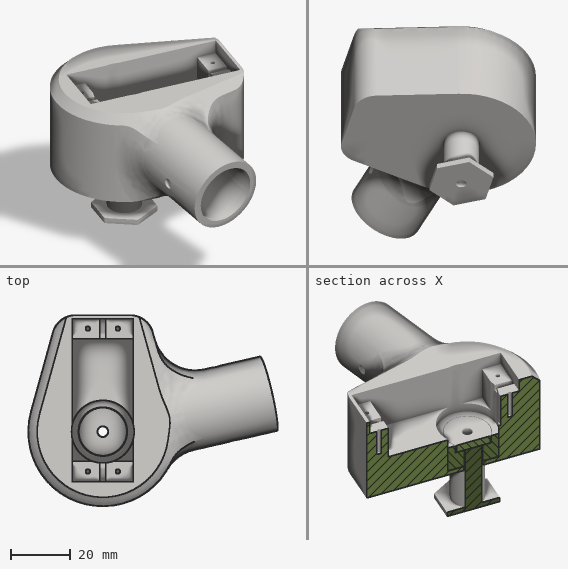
import cadquery as cq
import math

BODY_HEIGHT = 33.0
BODY_RADIUS = 25.0
EDGE_CHAMFER = 3.0
RIM_TAPER = 45.0
CORNER_RADIUS = 8.0
CORNER_X = 9.0
BACK_Y = 39.0
CORNER_Y = BACK_Y - CORNER_RADIUS

FLANK_ANGLE = math.atan2(CORNER_Y, CORNER_X) - math.acos(
    (BODY_RADIUS - CORNER_RADIUS) / math.hypot(CORNER_X, CORNER_Y)
)
FLANK_COS = math.cos(FLANK_ANGLE)
FLANK_SIN = math.sin(FLANK_ANGLE)

TUBE_DIAMETER = 25.6
TUBE_BORE = 20.55
TUBE_BORE_DEPTH = 30.1
TUBE_REACH = 57.1
TUBE_ROOT_Z = 21.5
TUBE_TURN = math.tan(math.radians(12.9))
TUBE_DIP = math.tan(math.radians(6))
TUBE_AXIS = cq.Vector(1, TUBE_TURN, -TUBE_DIP).normalized()
CROSS_HOLE_DIAMETER = 3.5
CROSS_HOLE_FROM_END = 15.0

TUBE_BLEND_RADIUS = 13.95
BLEND_MARGIN = 16.7
RIM_OVERRUN = 8.35

HOLLOW_CENTRE_DEPTH = 9.0
HOLLOW_CENTRE_REACH = BODY_RADIUS + math.sqrt(TUBE_BLEND_RADIUS**2 - HOLLOW_CENTRE_DEPTH**2)
HOLLOW_TURN = 75.0
HOLLOW_FLANK_LENGTH = 25.1

POCKET_WIDTH = 20.5
POCKET_FRONT_Y = -16.7
POCKET_BACK_Y = 37.8
POCKET_DEPTH = 17.45
LEDGE_LENGTH = 6.8
LEDGE_DEPTH = 4.9
CABLE_SLOT_WIDTH = 2.0
CABLE_SLOT_DEPTH = 2.0
SCREW_HOLE_DIAMETER = 1.5
SCREW_HOLE_DEPTH = 10.0
SCREW_SPACING = 10.0

BEARING_DIAMETER = 21.0
BEARING_BORE = 12.0
BEARING_HEIGHT = 10.0
BEARING_SEAT_Z = 2.0
BEARING_TOP_Z = BEARING_SEAT_Z + BEARING_HEIGHT
SHAFT_CLEARANCE_HOLE = 12.1

CAP_DIAMETER = 16.0
CAP_RECESS_DIAMETER = 16.4
CAP_THICKNESS = 3.0
CAP_BOTTOM_Z = BEARING_TOP_Z - CAP_THICKNESS

SHAFT_DIAMETER = 11.8
SHAFT_BOTTOM_Z = -18.05
HEX_ACROSS_FLATS = 19.4
HEX_ACROSS_CORNERS = HEX_ACROSS_FLATS / math.cos(math.pi / 6)
HEX_THICKNESS = 2.0
CENTRE_HOLE_DIAMETER = 3.5


def cylinder(diameter, bottom_z, top_z):
    return cq.Workplane("XY", origin=(0, 0, bottom_z)).circle(diameter / 2).extrude(top_z - bottom_z)


def box_between(x_min, x_max, y_min, y_max, z_min, z_max):
    size = (x_max - x_min, y_max - y_min, z_max - z_min)
    return cq.Workplane("XY", origin=(x_min, y_min, z_min)).box(*size, centered=False)


def teardrop(bottom_z, end_y):
    """Closed outline: the big round, and its two tangent flanks run on to a straight edge at end_y."""
    flank_x = BODY_RADIUS * FLANK_COS
    flank_y = BODY_RADIUS * FLANK_SIN
    end_x = (BODY_RADIUS - end_y * FLANK_SIN) / FLANK_COS
    return (
        cq.Workplane("XY", origin=(0, 0, bottom_z))
        .moveTo(-end_x, end_y)
        .lineTo(-flank_x, flank_y)
        .threePointArc((0, -BODY_RADIUS), (flank_x, flank_y))
        .lineTo(end_x, end_y)
        .close()
    )


def tube_along_axis(diameter, start, end):
    origin = TUBE_AXIS * start + cq.Vector(0, 0, TUBE_ROOT_Z)
    plane = cq.Plane(origin=origin, normal=TUBE_AXIS)
    return cq.Workplane(plane).circle(diameter / 2).extrude(end - start)


def blend_tube(shell):
    """Round the seam where the tube meets the shell."""
    tube_face = next(
        face for face in shell.faces("%CYLINDER").vals() if face.Center().x > BODY_RADIUS
    )
    seam_edges = [edge for edge in tube_face.Edges() if edge.geomType() not in ("LINE", "CIRCLE")]
    return cq.Workplane(shell.val().fillet(TUBE_BLEND_RADIUS, seam_edges))


def make_shell():
    """Solid teardrop and tube, built oversize so the blend has room, then trimmed flat."""
    chamfer_start_z = BODY_HEIGHT - EDGE_CHAMFER
    overrun_y = BACK_Y + BLEND_MARGIN
    walls = teardrop(-BLEND_MARGIN, overrun_y).extrude(chamfer_start_z + BLEND_MARGIN)
    sloping_rim = teardrop(chamfer_start_z, overrun_y).extrude(RIM_OVERRUN, taper=RIM_TAPER)
    tube = tube_along_axis(TUBE_DIAMETER, BODY_RADIUS / 2, TUBE_REACH)
    shell = blend_tube(walls.union(sloping_rim).union(tube))
    trim = box_between(-BODY_RADIUS, 2 * TUBE_REACH, -TUBE_REACH, BACK_Y, 0, BODY_HEIGHT)
    return shell.intersect(trim)


def hollow_under_tube():
    """Waste following the bottom edge: turned about the Z axis at the round, straight at the flank."""
    plane = cq.Plane(
        origin=(0, 0, 0),
        xDir=(FLANK_COS, FLANK_SIN, 0),
        normal=(FLANK_SIN, -FLANK_COS, 0),
    )
    centre = (HOLLOW_CENTRE_REACH, -HOLLOW_CENTRE_DEPTH)

    def profile():
        return cq.Workplane(plane).pushPoints([centre]).circle(TUBE_BLEND_RADIUS)

    turned = profile().revolve(HOLLOW_TURN, (0, 0, 0), (0, -1, 0))
    straight = profile().extrude(-HOLLOW_FLANK_LENGTH)
    return turned.union(straight)


def corner_waste():
    """Prism outside the round of the +X back corner."""
    sharp_x = (BODY_RADIUS - BACK_Y * FLANK_SIN) / FLANK_COS
    middle_angle = (FLANK_ANGLE + math.pi / 2) / 2

    def on_round(angle):
        return (CORNER_X + CORNER_RADIUS * math.cos(angle), CORNER_Y + CORNER_RADIUS * math.sin(angle))

    return (
        cq.Workplane("XY")
        .moveTo(CORNER_X, BACK_Y)
        .lineTo(sharp_x, BACK_Y)
        .lineTo(*on_round(FLANK_ANGLE))
        .threePointArc(on_round(middle_angle), (CORNER_X, BACK_Y))
        .close()
        .extrude(BODY_HEIGHT)
    )


def servo_pocket():
    """Waste of the pocket: shallow over the ledges, deep between them, with a cable slot along."""
    half_width = POCKET_WIDTH / 2
    half_slot = CABLE_SLOT_WIDTH / 2
    ledge_z = BODY_HEIGHT - LEDGE_DEPTH
    floor_z = BODY_HEIGHT - POCKET_DEPTH
    well_front_y = POCKET_FRONT_Y + LEDGE_LENGTH
    well_back_y = POCKET_BACK_Y - LEDGE_LENGTH
    mouth = box_between(-half_width, half_width, POCKET_FRONT_Y, POCKET_BACK_Y, ledge_z, BODY_HEIGHT)
    well = box_between(-half_width, half_width, well_front_y, well_back_y, floor_z, BODY_HEIGHT)
    slot_z = ledge_z - CABLE_SLOT_DEPTH
    slot = box_between(-half_slot, half_slot, POCKET_FRONT_Y, POCKET_BACK_Y, slot_z, BODY_HEIGHT)
    return mouth.union(well).union(slot)


def ledge_screw_holes():
    front_y = POCKET_FRONT_Y + LEDGE_LENGTH / 2
    back_y = POCKET_BACK_Y - LEDGE_LENGTH / 2
    half_spacing = SCREW_SPACING / 2
    centres = [(x, y) for x in (-half_spacing, half_spacing) for y in (front_y, back_y)]
    return (
        cq.Workplane("XY", origin=(0, 0, BODY_HEIGHT - LEDGE_DEPTH))
        .pushPoints(centres)
        .circle(SCREW_HOLE_DIAMETER / 2)
        .extrude(-SCREW_HOLE_DEPTH)
    )


def tube_cross_hole():
    """Level hole through both walls of the tube, square to its axis."""
    hole_centre = TUBE_AXIS * (TUBE_REACH - CROSS_HOLE_FROM_END) + cq.Vector(0, 0, TUBE_ROOT_Z)
    plane = cq.Plane(origin=hole_centre, normal=(TUBE_TURN, -1, 0))
    return cq.Workplane(plane).circle(CROSS_HOLE_DIAMETER / 2).extrude(TUBE_DIAMETER, both=True)


def make_housing():
    housing = make_shell().cut(hollow_under_tube())
    housing = housing.cut(corner_waste()).cut(corner_waste().mirror("YZ"))
    housing = housing.cut(servo_pocket()).cut(ledge_screw_holes())
    housing = housing.cut(cylinder(BEARING_DIAMETER, BEARING_SEAT_Z, BODY_HEIGHT))
    housing = housing.cut(cylinder(SHAFT_CLEARANCE_HOLE, 0, BEARING_SEAT_Z))
    housing = housing.cut(tube_along_axis(TUBE_BORE, TUBE_REACH - TUBE_BORE_DEPTH, TUBE_REACH))
    return housing.cut(tube_cross_hole())


def make_bearing():
    """Sleeve on the housing seat, with a shallow recess in its top for the cap."""
    sleeve = cylinder(BEARING_DIAMETER, BEARING_SEAT_Z, BEARING_TOP_Z)
    sleeve = sleeve.cut(cylinder(BEARING_BORE, BEARING_SEAT_Z, BEARING_TOP_Z))
    return sleeve.cut(cylinder(CAP_RECESS_DIAMETER, CAP_BOTTOM_Z, BEARING_TOP_Z))


def make_shaft():
    """Hollow shaft up to the underside of the cap, with the hexagonal flange at its foot."""
    flange = (
        cq.Workplane("XY", origin=(0, 0, SHAFT_BOTTOM_Z))
        .polygon(6, HEX_ACROSS_CORNERS)
        .extrude(HEX_THICKNESS)
    )
    shaft = flange.union(cylinder(SHAFT_DIAMETER, SHAFT_BOTTOM_Z, CAP_BOTTOM_Z))
    return shaft.cut(cylinder(CENTRE_HOLE_DIAMETER, SHAFT_BOTTOM_Z, CAP_BOTTOM_Z))


def make_cap():
    """Disc on the end of the shaft that keeps it from dropping out."""
    disc = cylinder(CAP_DIAMETER, CAP_BOTTOM_Z, BEARING_TOP_Z)
    return disc.cut(cylinder(CENTRE_HOLE_DIAMETER, CAP_BOTTOM_Z, BEARING_TOP_Z))


housing = make_housing()
bearing = make_bearing()
shaft = make_shaft()
cap = make_cap()

result = cq.Compound.makeCompound([housing.val(), bearing.val(), shaft.val(), cap.val()])